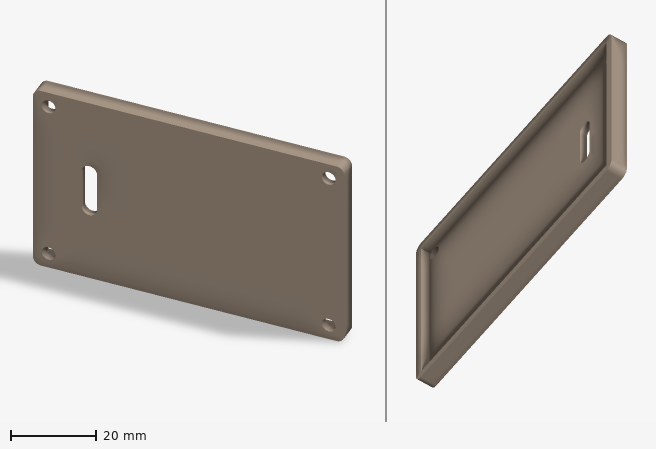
import cadquery as cq

length = 80.0
depth = 4.5
height = 50.0
corner_radius = 2.0
floor_thickness = 2.0
wall_thickness = 2.0

hole_diameter = 3.5
hole_inset = 4.0

slot_length = 14.0
slot_width = 4.0
slot_inset = 14.5
slot_x = slot_inset - length / 2

plate = cq.Workplane("XZ").box(length, height, depth).edges("|Y").fillet(corner_radius)

recess_depth = depth - floor_thickness
recess = cq.Workplane("XZ").box(
    length - 2 * wall_thickness, height - 2 * wall_thickness, recess_depth
).translate((0, (depth - recess_depth) / 2, 0))
tray = plate.cut(recess)

tray = (
    tray.faces("<Y").workplane(origin=(0, 0, 0))
    .rect(length - 2 * hole_inset, height - 2 * hole_inset, forConstruction=True)
    .vertices()
    .hole(hole_diameter)
)

result = (
    tray.faces("<Y").workplane(origin=(0, 0, 0))
    .center(slot_x, 0)
    .slot2D(slot_length, slot_width, angle=90)
    .cutThruAll()
)